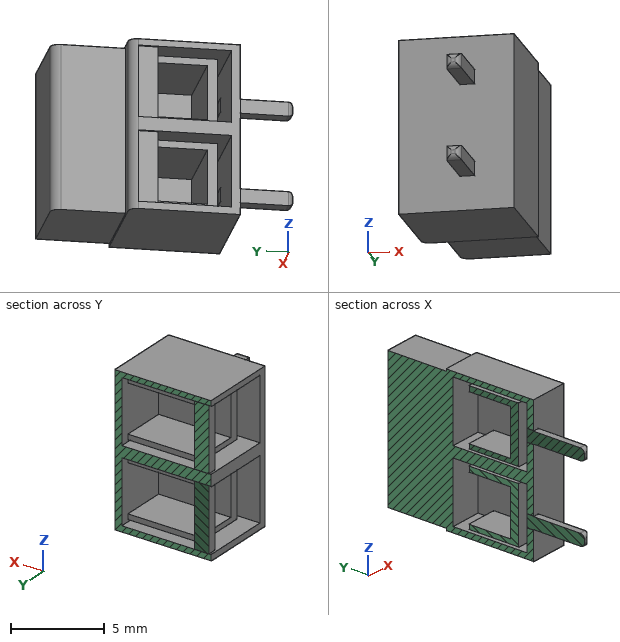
import cadquery as cq

width = 6.3
base_length = 6.0
base_height = 9.63
base_fillet = 0.49

tower_left = 1.25
tower_right = 6.1
tower_length = 4.01
tower_height = 9.35
tower_fillet = 0.5

pocket_pitch = 4.8
pocket_height = 4.05
pocket_bottom = 0.47
pocket_top = base_length - base_fillet
pocket_back_wall = 0.47
pocket_depth = width - pocket_back_wall

bar_recess = 0.14
bar_thickness = 0.97
bar_length = 1.08
bar_back = bar_recess + bar_thickness
bar_bottom = pocket_top - bar_length

clamp_pitch = 4.78
clamp_height = 3.8
clamp_bottom = 1.03
clamp_upper_wall = 0.39
clamp_lower_wall = 0.34
clamp_floor = 0.57

pin_pitch = 5.08
pin_side = 0.8
pin_center_x = 3.75
pin_protrusion = 3.5
pin_tip_fillet = 0.3

pole_row_z = 0.02
pole_sides = (-1, 1)


def block(x_range, y_range, height, center_z=0):
    """Box between two X and two Y limits, centred on center_z."""
    x_min, x_max = x_range
    y_min, y_max = y_range
    return cq.Workplane("XY").box(
        x_max - x_min, y_max - y_min, height, centered=(False, False, True)
    ).translate((x_min, y_min, center_z))


def pole_z(side, pitch):
    """Z of the lower (-1) or upper (1) of two places spaced by pitch along the row."""
    return pole_row_z + side * pitch / 2


def make_pin(center_z):
    """Square pin with its free end rounded on all four sides."""
    pin = block(
        (pin_center_x - pin_side / 2, pin_center_x + pin_side / 2),
        (-pin_protrusion, pocket_bottom),
        pin_side,
        center_z,
    )
    return pin.faces("<Y").edges().fillet(pin_tip_fillet)


def make_clamp(center_z):
    """U-shaped channel running along X, with its open side towards +Y."""
    outer = block((bar_back, pocket_depth), (clamp_bottom, bar_bottom), clamp_height, center_z)
    opening = block(
        (bar_back, pocket_depth),
        (clamp_bottom + clamp_floor, bar_bottom),
        clamp_height - clamp_upper_wall - clamp_lower_wall,
        center_z + (clamp_lower_wall - clamp_upper_wall) / 2,
    )
    return outer.cut(opening)


def make_bar(center_z):
    """Bar across the pocket mouth, against the +Y wall of the pocket."""
    return block((bar_recess, bar_back), (bar_bottom, pocket_top), pocket_height, center_z)


def make_housing(pins):
    """Stepped block with rounded corners, a pocket for each pole and holes that fit the pins."""
    base = block((0, width), (0, base_length), base_height)
    base = base.edges("|Z and <X and >Y").fillet(base_fillet)
    tower = block((tower_left, tower_right), (base_length, base_length + tower_length), tower_height)
    tower = tower.edges("|Z and <X and >Y").fillet(tower_fillet)
    body = base.union(tower)
    for side in pole_sides:
        pocket_z = pole_z(side, pocket_pitch)
        body = body.cut(block((0, pocket_depth), (pocket_bottom, pocket_top), pocket_height, pocket_z))
    for pin in pins:
        body = body.cut(pin)
    return body


pins = [make_pin(pole_z(side, pin_pitch)) for side in pole_sides]
clamps = [make_clamp(pole_z(side, clamp_pitch)) for side in pole_sides]
bars = [make_bar(pole_z(side, pocket_pitch)) for side in pole_sides]
housing = make_housing(pins)

result = cq.Compound.makeCompound([
    housing.val(),
    *[pin.val() for pin in pins],
    *[clamp.val() for clamp in clamps],
    *[bar.val() for bar in bars],
])